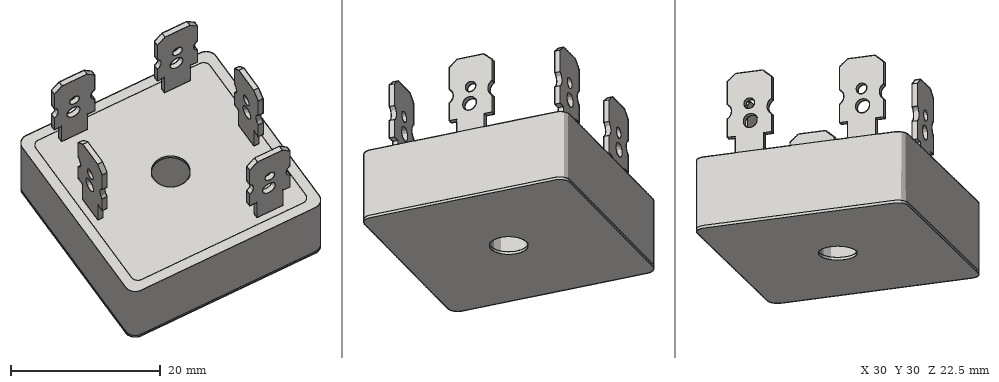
import cadquery as cq
side = 30.0
total_height = 22.5
body_height = 10.17
base_thickness = 0.4
corner_radius = 1.5
wall = 1.5
inner_radius = 1.0
lid_thickness = 0.4
bore_diameter = 5.2

blade_width = 6.27
stem_width = 4.02
terminal_thickness = 0.78
terminal_length = total_height - body_height
stem_length = 3.35
chamfer_width = 1.2
chamfer_height = 1.02
notch_height = 2.1
notch_depth = 0.6
notch_level = 7.02
small_hole_level = 7.83
small_hole_diameter = 1.5
large_hole_level = 5.35
large_hole_diameter = 1.98
large_hole_offset = 0.15

rim_distance = 12.1
corner_distance = 7.98

inner_side = side - 2 * wall
lid_bottom = body_height - lid_thickness
BLADE_PLACES = [
    (0, -rim_distance, 0),
    (rim_distance, corner_distance, 90),
    (0, rim_distance, 180),
    (-rim_distance, corner_distance, 90),
    (-rim_distance, -corner_distance, 90),
]


def rounded_block(width, radius, bottom, top):
    """Square block with rounded vertical edges between two heights."""
    block = cq.Workplane("XY").workplane(offset=bottom).rect(width, width).extrude(top - bottom)
    return block.edges("|Z").fillet(radius)


def drill_bore(block):
    """Cut the central mounting bore through a block."""
    bore = cq.Workplane("XY").circle(bore_diameter / 2).extrude(total_height)
    return block.cut(bore)


def make_base_plate():
    return drill_bore(rounded_block(side, corner_radius, 0, base_thickness))


def make_housing():
    """Square frame that stands on the base plate."""
    outer = rounded_block(side, corner_radius, base_thickness, body_height)
    return outer.cut(rounded_block(inner_side, inner_radius, base_thickness, body_height))


def make_core():
    """Filling inside the frame, between base plate and lid."""
    return drill_bore(rounded_block(inner_side, inner_radius, base_thickness, lid_bottom))


def make_lid():
    """Thin cover set flush into the top of the frame."""
    return drill_bore(rounded_block(inner_side, inner_radius, lid_bottom, body_height))


def make_terminal(x, y, turn):
    """Flat blade on the lid, profiled in XZ and turned about Z."""
    half_blade = blade_width / 2
    half_stem = stem_width / 2
    half_tip = half_blade - chamfer_width
    notch_floor = half_blade - notch_depth
    notch_bottom = notch_level - notch_height / 2
    notch_top = notch_level + notch_height / 2
    chamfer_start = terminal_length - chamfer_height

    blade = (
        cq.Workplane("XZ", origin=(0, terminal_thickness / 2, 0))
        .moveTo(-half_stem, 0)
        .lineTo(half_stem, 0)
        .lineTo(half_stem, stem_length)
        .lineTo(half_blade, stem_length)
        .lineTo(half_blade, notch_bottom)
        .threePointArc((notch_floor, notch_level), (half_blade, notch_top))
        .lineTo(half_blade, chamfer_start)
        .lineTo(half_tip, terminal_length)
        .lineTo(-half_tip, terminal_length)
        .lineTo(-half_blade, chamfer_start)
        .lineTo(-half_blade, notch_top)
        .threePointArc((-notch_floor, notch_level), (-half_blade, notch_bottom))
        .lineTo(-half_blade, stem_length)
        .lineTo(-half_stem, stem_length)
        .close()
        .extrude(terminal_thickness)
    )
    holes = (
        cq.Workplane("XZ", origin=(0, terminal_thickness / 2, 0))
        .moveTo(0, small_hole_level)
        .circle(small_hole_diameter / 2)
        .moveTo(-large_hole_offset, large_hole_level)
        .circle(large_hole_diameter / 2)
        .extrude(terminal_thickness)
    )
    return blade.cut(holes).rotate((0, 0, 0), (0, 0, 1), turn).translate((x, y, body_height))


base_plate = make_base_plate()
housing = make_housing()
core = make_core()
lid = make_lid()
terminals = [make_terminal(x, y, turn) for x, y, turn in BLADE_PLACES]

result = cq.Compound.makeCompound([
    base_plate.val(),
    housing.val(),
    core.val(),
    lid.val(),
    *[terminal.val() for terminal in terminals],
])